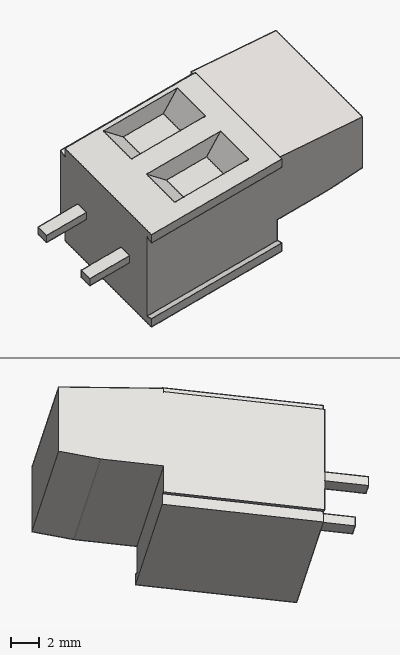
import cadquery as cq

POLE_COUNT = 2
PITCH = 5.0

BODY_WIDTH = POLE_COUNT * PITCH
BODY_HEIGHT = 10.0
BODY_LENGTH = 11.5
DOVETAIL_DEPTH = 0.52
DOVETAIL_OUTER_INSET = 0.7
DOVETAIL_INNER_INSET = 0.9

NOSE_LENGTH = 7.5
NOSE_ROOT_TOP = 9.58
NOSE_END_TOP = 8.7
NOSE_BOTTOM = 2.92
NOSE_END_BOTTOM = 3.2
NOSE_LEAD_LENGTH = 3.0

POCKET_WIDTH = 3.25
POCKET_LENGTH = 6.52
FLOOR_WIDTH = 2.56
FLOOR_LENGTH = 3.53
POCKET_DEPTH = 1.4
POCKET_SETBACK = 6.37

PIN_WIDTH = 1.0
PIN_HEIGHT = 0.76
PIN_LENGTH = 3.5

BODY_FRONT = PIN_LENGTH
BODY_BACK = BODY_FRONT + BODY_LENGTH
NOSE_END = BODY_BACK + NOSE_LENGTH
POLE_CENTRES = [(i + 0.5) * PITCH for i in range(POLE_COUNT)]


def make_block():
    """Dovetailed cross-section extruded along Y; the right edge repeats the left one."""
    edge = [
        (DOVETAIL_DEPTH, 0),
        (DOVETAIL_DEPTH, DOVETAIL_INNER_INSET),
        (0, DOVETAIL_OUTER_INSET),
        (0, BODY_HEIGHT - DOVETAIL_OUTER_INSET),
        (DOVETAIL_DEPTH, BODY_HEIGHT - DOVETAIL_INNER_INSET),
        (DOVETAIL_DEPTH, BODY_HEIGHT),
    ]
    right_edge = [(x + BODY_WIDTH, z) for x, z in reversed(edge)]
    return (
        cq.Workplane("XZ", origin=(0, BODY_FRONT, 0))
        .polyline(edge + right_edge)
        .close()
        .extrude(-BODY_LENGTH)
    )


def make_nose():
    """Side profile of the nose extruded across the poles."""
    profile = [
        (BODY_BACK, NOSE_BOTTOM),
        (NOSE_END - NOSE_LEAD_LENGTH, NOSE_BOTTOM),
        (NOSE_END, NOSE_END_BOTTOM),
        (NOSE_END, NOSE_END_TOP),
        (BODY_BACK, NOSE_ROOT_TOP),
    ]
    return cq.Workplane("YZ").polyline(profile).close().extrude(BODY_WIDTH)


def make_pocket(centre_x):
    """Cutter for a rectangular pocket narrowing from its rim to its floor."""
    return (
        cq.Workplane("XY", origin=(centre_x, BODY_FRONT + POCKET_SETBACK, BODY_HEIGHT))
        .rect(POCKET_WIDTH, POCKET_LENGTH)
        .workplane(offset=-POCKET_DEPTH)
        .rect(FLOOR_WIDTH, FLOOR_LENGTH)
        .loft(ruled=True)
    )


def make_housing():
    housing = make_block().union(make_nose())
    for centre_x in POLE_CENTRES:
        housing = housing.cut(make_pocket(centre_x))
    return housing


def make_pin(centre_x):
    """Rectangular pin standing on the front face of the housing, at mid height."""
    return (
        cq.Workplane("XZ", origin=(centre_x, BODY_FRONT, BODY_HEIGHT / 2))
        .rect(PIN_WIDTH, PIN_HEIGHT)
        .extrude(PIN_LENGTH)
    )


housing = make_housing()
pins = [make_pin(centre_x).val() for centre_x in POLE_CENTRES]

result = cq.Compound.makeCompound([housing.val(), *pins])